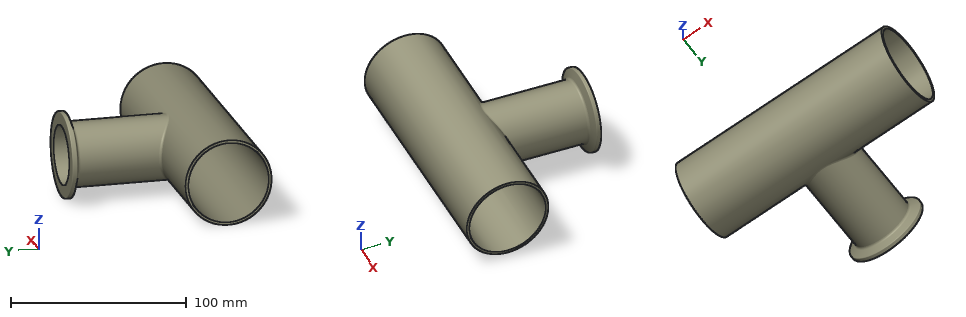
import cadquery as cq
import math

run_length = 146.0
run_outer_diameter = 50.8
run_inner_diameter = 47.5

branch_outer_diameter = 38.1
branch_inner_diameter = 34.8
branch_reach = 79.3
saddle_fillet = 1.5

flange_diameter = 50.4
flange_rim_thickness = 2.9
flange_back_angle = 20.0
rim_fillet = 0.6
neck_fillet = 1.5

branch_radius = branch_outer_diameter / 2
flange_radius = flange_diameter / 2
flange_cone_depth = (flange_radius - branch_radius) * math.tan(math.radians(flange_back_angle))


def cylinder_along_x(diameter):
    """Full-length cylinder on the main tube axis."""
    return cq.Workplane("YZ").circle(diameter / 2).extrude(run_length / 2, both=True)


def cylinder_along_y(diameter):
    """Cylinder from the main tube axis to the flange face."""
    return cq.Workplane("XZ").circle(diameter / 2).extrude(-branch_reach)


def outer_tee():
    """Solid main tube and branch, blended where they meet."""
    tee = cylinder_along_x(run_outer_diameter).union(cylinder_along_y(branch_outer_diameter))
    saddle_box = cq.selectors.BoxSelector(
        (-branch_outer_diameter, 0, -branch_outer_diameter),
        (branch_outer_diameter, run_outer_diameter, branch_outer_diameter),
        boundingbox=True,
    )
    return tee.edges(saddle_box).fillet(saddle_fillet)


def flange():
    """Solid clamp flange: straight rim, conical back and a short neck, turned about Y."""
    rim_back = branch_reach - flange_rim_thickness
    neck_start = rim_back - flange_cone_depth
    neck_end = neck_start - 2 * neck_fillet
    body = (
        cq.Workplane("XY")
        .moveTo(0, branch_reach)
        .lineTo(flange_radius, branch_reach)
        .lineTo(flange_radius, rim_back)
        .lineTo(branch_radius, neck_start)
        .lineTo(branch_radius, neck_end)
        .lineTo(0, neck_end)
        .close()
        .revolve(360, (0, 0, 0), (0, 1, 0))
    )

    def circle_at(y):
        margin = 0.1
        return cq.selectors.BoxSelector(
            (-flange_diameter, y - margin, -flange_diameter),
            (flange_diameter, y + margin, flange_diameter),
            boundingbox=True,
        )

    body = body.edges(circle_at(neck_start)).fillet(neck_fillet)
    body = body.edges(circle_at(rim_back)).fillet(rim_fillet)
    return body.edges(circle_at(branch_reach)).fillet(rim_fillet)


result = (
    outer_tee()
    .union(flange())
    .cut(cylinder_along_x(run_inner_diameter))
    .cut(cylinder_along_y(branch_inner_diameter))
)